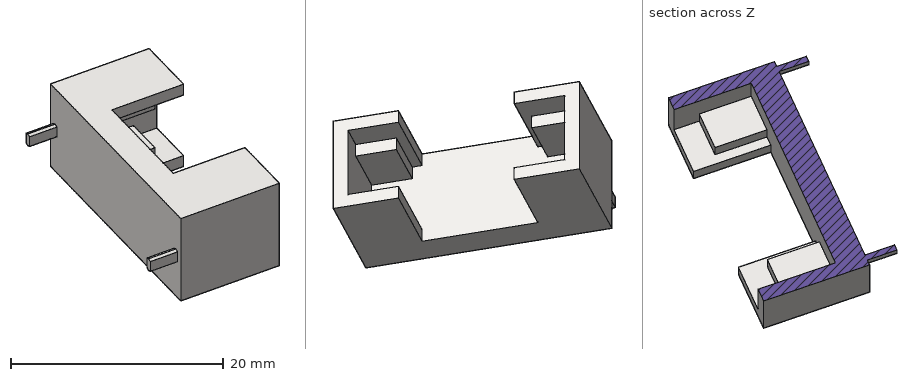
import cadquery as cq

length = 24.2
height = 9.8
total_depth = 13.8
pin_length = 3.0
body_depth = total_depth - pin_length
leg_width = 6.41
web_thickness = 2.95

roof_thickness = 1.3
end_wall = 1.45
channel_height = height - 2 * roof_thickness

rib_from_notch = 0.97
rib_setback = 2.57
rib_gap = 4.6

pin_width = 0.65
pin_height = 1.4
pin_ridge = 0.12
pin_from_end = 0.9


def box(x_range, y_range, z_size):
    """Box between the given X and Y limits, centred on Z = 0."""
    x_size = x_range[1] - x_range[0]
    y_size = y_range[1] - y_range[0]
    return (
        cq.Workplane("XY")
        .box(x_size, y_size, z_size, centered=(False, False, True))
        .translate((x_range[0], y_range[0], 0))
    )


def make_body():
    """Outer block with the notch between the legs."""
    notch_half = length / 2 - leg_width
    block = box((-length / 2, length / 2), (0, body_depth), height)
    notch = box((-notch_half, notch_half), (web_thickness, body_depth), height)
    return block.cut(notch)


def make_channel():
    """Space removed from the +X leg, leaving the ribs standing."""
    inner_x = length / 2 - leg_width
    outer_x = length / 2 - end_wall
    channel = box((inner_x, outer_x), (web_thickness, body_depth), channel_height)
    rib_x = (inner_x + rib_from_notch, outer_x)
    rib_y = (web_thickness, body_depth - rib_setback)
    ribs = box(rib_x, rib_y, channel_height).cut(box(rib_x, rib_y, rib_gap))
    return channel.cut(ribs)


def make_pin():
    """Six-sided pin projecting from the web face at the +X end."""
    half_width = pin_width / 2
    peak = pin_height / 2
    shoulder = peak - pin_ridge
    profile = [
        (-half_width, -shoulder),
        (0, -peak),
        (half_width, -shoulder),
        (half_width, shoulder),
        (0, peak),
        (-half_width, shoulder),
    ]
    pin = cq.Workplane("XZ").polyline(profile).close().extrude(pin_length)
    return pin.translate((length / 2 - pin_from_end, 0, 0))


channel = make_channel()
pin = make_pin()
result = (
    make_body()
    .cut(channel)
    .cut(channel.mirror("YZ"))
    .union(pin)
    .union(pin.mirror("YZ"))
)